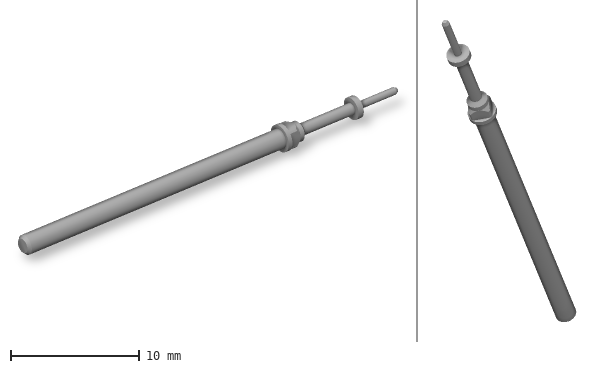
import cadquery as cq

length = 37.0

pin_dia = 0.63
disc_dia = 1.9
neck_dia = 1.0
body_dia = 1.65
flange_dia = 2.3

disc_front = 4.0
disc_thickness = 0.5
shoulder_start = 9.47
shoulder_length = 0.3
flange_front = 11.2
flange_thickness = 0.37

tip_chamfer_length = 0.25
tip_chamfer_depth = 0.15
butt_chamfer_length = 0.25
butt_chamfer_depth = 0.22

head_width = 1.7
head_corner_dia = 2.22
head_front = 10.18
head_lead_in = 0.35


def from_tip(distance):
    """Y position of a station given by its distance back from the pin tip."""
    return length - distance


def revolve_profile(outline):
    """Solid of revolution about Y from (radius, Y) points that start and end on the axis."""
    return cq.Workplane("XY").polyline(outline).close().revolve(360, (0, 0, 0), (0, 1, 0))


def turned_body():
    """Stepped pin, disc, neck, collar, flange and barrel as one turned profile."""
    pin_radius = pin_dia / 2
    disc_radius = disc_dia / 2
    neck_radius = neck_dia / 2
    collar_radius = head_width / 2
    body_radius = body_dia / 2
    flange_radius = flange_dia / 2
    disc_back = disc_front + disc_thickness
    flange_back = flange_front + flange_thickness
    return revolve_profile([
        (0, from_tip(0)),
        (pin_radius - tip_chamfer_depth, from_tip(0)),
        (pin_radius, from_tip(tip_chamfer_length)),
        (pin_radius, from_tip(disc_front)),
        (disc_radius, from_tip(disc_front)),
        (disc_radius, from_tip(disc_back)),
        (neck_radius, from_tip(disc_back)),
        (neck_radius, from_tip(shoulder_start)),
        (collar_radius, from_tip(shoulder_start + shoulder_length)),
        (collar_radius, from_tip(flange_front)),
        (flange_radius, from_tip(flange_front)),
        (flange_radius, from_tip(flange_back)),
        (body_radius, from_tip(flange_back)),
        (body_radius, butt_chamfer_length),
        (body_radius - butt_chamfer_depth, 0),
        (0, 0),
    ])


def square_head():
    """Square block with turned corners, ending on the flange."""
    corner_radius = head_corner_dia / 2
    head_back = flange_front + flange_thickness / 2
    envelope = revolve_profile([
        (0, from_tip(head_front)),
        (head_width / 2, from_tip(head_front)),
        (corner_radius, from_tip(head_front + head_lead_in)),
        (corner_radius, from_tip(head_back)),
        (0, from_tip(head_back)),
    ])
    block = cq.Workplane("XY").box(head_width, 2 * length, head_width)
    return envelope.intersect(block)


result = turned_body().union(square_head())